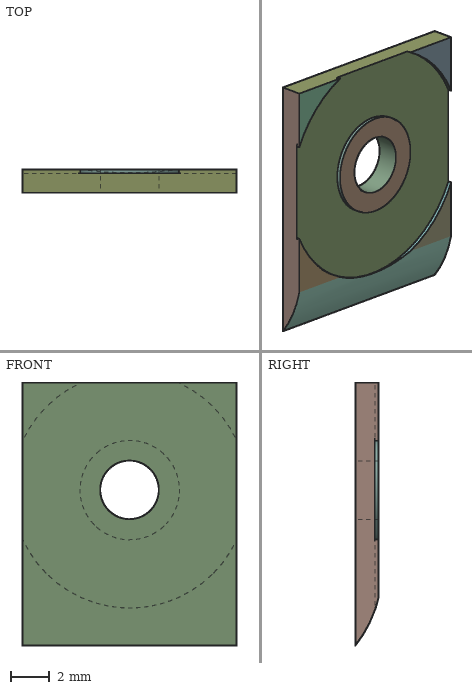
import cadquery as cq

width = 11.0
thickness = 1.2
height = 13.5

bevel_height = 2.5
bevel_mid_y = 0.69
bevel_mid_z = 1.07

hole_diameter = 3.0
hole_z = height - width / 2

recess_depth = 0.2
recess_diameter = 12.11

pad_diameter = 5.1


def make_plate():
    """Side profile in the YZ plane, extruded evenly to both sides of X = 0."""
    return (
        cq.Workplane("YZ")
        .moveTo(0, 0)
        .lineTo(0, height)
        .lineTo(thickness, height)
        .lineTo(thickness, bevel_height)
        .threePointArc((bevel_mid_y, bevel_mid_z), (0, 0))
        .close()
        .extrude(width / 2, both=True)
    )


def make_cylinder(diameter, depth):
    """Cylinder on the hole axis, reaching from the rear face to the given depth."""
    return (
        cq.Workplane("XZ", origin=(0, thickness, hole_z))
        .circle(diameter / 2)
        .extrude(depth)
    )


recess = make_cylinder(recess_diameter, recess_depth).cut(make_cylinder(pad_diameter, recess_depth))
hole = make_cylinder(hole_diameter, thickness)

result = make_plate().cut(recess).cut(hole)